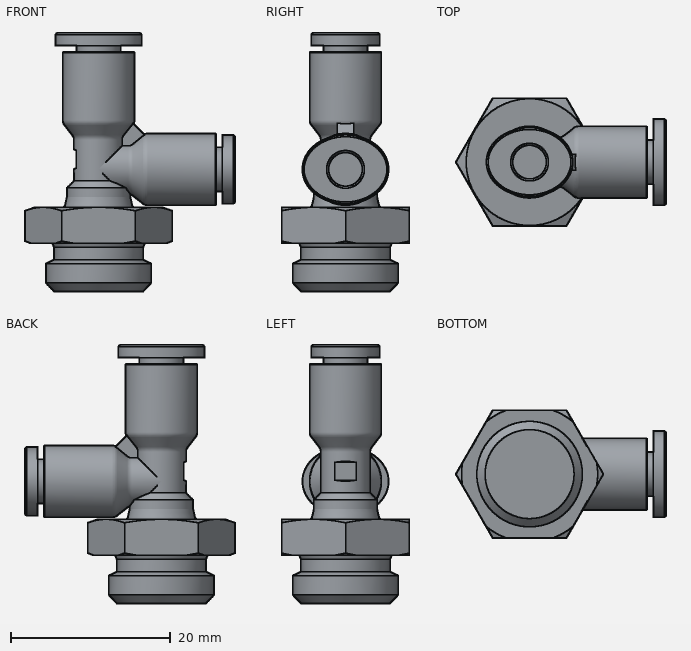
import cadquery as cq
import math

total_height = 32.4
branch_axis_z = 15.3
arm_length = total_height - branch_axis_z

plug_radius = 6.6
plug_groove_radius = 5.6
plug_lead_in = 1.07
plug_tip_radius = 5.57
plug_top_z = 3.5
groove_bottom_z = 4.0
groove_top_z = 5.55
nut_seat_radius = 5.8

nut_width = 16.0
nut_bottom_z = 6.03
nut_top_z = 10.55
nut_corner_radius = nut_width / math.sqrt(3)
nut_top_face_radius = 7.95
nut_top_bevel = 0.45
nut_bottom_face_radius = 8.52
nut_bottom_bevel = 0.3

collar_radius = 4.0
collar_base_radius = 4.2
collar_base_fillet = 0.25
collar_taper_top_z = 11.85
collar_top_z = 12.95
collar_bevel_top_z = 13.85

stem_radius = 3.1
body_radius = 4.5
flare_start = 3.73
flare_length = 2.4
flare_angle = math.radians(38)
body_end = 14.7
body_edge_chamfer = 0.1
sleeve_radius = 2.8
button_start = 15.5
button_long_radius = 5.4
button_short_radius = 4.3
button_chamfer = 0.23
bore_radius = 2.1
bore_chamfer = 0.25
bore_bottom = flare_start + flare_length

web_thickness = 2.0
web_reach = 10.1

pocket_floor_x = -2.82
pocket_bottom_z = 15.45
pocket_top_z = 17.65
pocket_end_slope = 0.5


def make_plug():
    """Screw plug with a relief groove under the nut."""
    return (
        cq.Workplane("XZ")
        .moveTo(0, 0)
        .lineTo(plug_tip_radius, 0)
        .lineTo(plug_radius, plug_lead_in)
        .lineTo(plug_radius, plug_top_z)
        .lineTo(plug_groove_radius, groove_bottom_z)
        .lineTo(plug_groove_radius, groove_top_z)
        .lineTo(nut_seat_radius, nut_bottom_z)
        .lineTo(0, nut_bottom_z)
        .close()
        .revolve(360, (0, 0), (0, 1))
    )


def make_nut():
    """Hexagonal prism with both faces bevelled at the corners by cones."""
    hexagon = (
        cq.Workplane("XY", origin=(0, 0, nut_bottom_z))
        .polygon(6, 2 * nut_corner_radius)
        .extrude(nut_top_z - nut_bottom_z)
    )
    bevel_envelope = (
        cq.Workplane("XZ")
        .moveTo(0, nut_bottom_z)
        .lineTo(nut_bottom_face_radius, nut_bottom_z)
        .lineTo(nut_corner_radius, nut_bottom_z + nut_bottom_bevel)
        .lineTo(nut_corner_radius, nut_top_z - nut_top_bevel)
        .lineTo(nut_top_face_radius, nut_top_z)
        .lineTo(0, nut_top_z)
        .close()
        .revolve(360, (0, 0), (0, 1))
    )
    return hexagon.intersect(bevel_envelope)


def make_collar():
    """Tapered collar, bevelled down to the stem and flared onto the nut."""
    fillet_reach = collar_base_fillet * (1 - math.sqrt(0.5))
    return (
        cq.Workplane("XZ")
        .moveTo(0, nut_top_z)
        .lineTo(collar_base_radius + collar_base_fillet, nut_top_z)
        .threePointArc(
            (collar_base_radius + fillet_reach, nut_top_z + fillet_reach),
            (collar_base_radius, nut_top_z + collar_base_fillet),
        )
        .lineTo(collar_radius, collar_taper_top_z)
        .lineTo(collar_radius, collar_top_z)
        .lineTo(stem_radius, collar_bevel_top_z)
        .lineTo(0, collar_bevel_top_z)
        .close()
        .revolve(360, (0, 0), (0, 1))
    )


def make_arm_body(start):
    """Stem and tube body along Z, joined by an S-shaped flare of two equal arcs and a cone."""
    flare_end = flare_start + flare_length
    step = body_radius - stem_radius
    arc_radius = (flare_length * math.tan(flare_angle) - step) / (
        2 * (math.sin(flare_angle) * math.tan(flare_angle) + math.cos(flare_angle) - 1)
    )

    def arc_offset(angle):
        return arc_radius * (1 - math.cos(angle)), arc_radius * math.sin(angle)

    mid_in, mid_up = arc_offset(flare_angle / 2)
    end_in, end_up = arc_offset(flare_angle)
    return (
        cq.Workplane("XZ")
        .moveTo(0, start)
        .lineTo(stem_radius, start)
        .lineTo(stem_radius, flare_start)
        .threePointArc(
            (stem_radius + mid_in, flare_start + mid_up),
            (stem_radius + end_in, flare_start + end_up),
        )
        .lineTo(body_radius - end_in, flare_end - end_up)
        .threePointArc(
            (body_radius - mid_in, flare_end - mid_up),
            (body_radius, flare_end),
        )
        .lineTo(body_radius, body_end - body_edge_chamfer)
        .lineTo(body_radius - body_edge_chamfer, body_end)
        .lineTo(0, body_end)
        .close()
        .revolve(360, (0, 0), (0, 1))
    )


def make_arm(start, long_axis_angle):
    """Complete arm along Z: body, release sleeve and oval button, without its bore."""
    sleeve = (
        cq.Workplane("XY", origin=(0, 0, body_end))
        .circle(sleeve_radius)
        .extrude(button_start - body_end)
    )
    button = (
        cq.Workplane("XY", origin=(0, 0, button_start))
        .ellipse(button_long_radius, button_short_radius)
        .extrude(arm_length - button_start)
        .faces(">Z")
        .chamfer(button_chamfer)
        .rotate((0, 0, 0), (0, 0, 1), long_axis_angle)
    )
    return make_arm_body(start).union(sleeve).union(button)


def make_bore():
    """Cutter for the blind tube socket with a bevelled mouth."""
    return (
        cq.Workplane("XZ")
        .moveTo(0, bore_bottom)
        .lineTo(bore_radius, bore_bottom)
        .lineTo(bore_radius, arm_length - bore_chamfer)
        .lineTo(bore_radius + bore_chamfer, arm_length)
        .lineTo(0, arm_length)
        .close()
        .revolve(360, (0, 0), (0, 1))
    )


def on_run(shape):
    """Move an arm-frame shape onto the upright run."""
    return shape.translate((0, 0, branch_axis_z))


def on_branch(shape):
    """Turn an arm-frame shape onto the horizontal branch."""
    return on_run(shape.rotate((0, 0, 0), (0, 1, 0), 90))


def make_web():
    """Triangular plate across the inside corner, with a 45 degree outer edge."""
    return on_run(
        cq.Workplane("XZ")
        .polyline([(0, 0), (web_reach, 0), (0, web_reach)])
        .close()
        .extrude(web_thickness / 2, both=True)
    )


def make_pocket():
    """Cutter for the stem pocket, whose end walls lean outward."""
    depth = stem_radius + pocket_floor_x
    lean = depth * pocket_end_slope
    return (
        cq.Workplane("XZ")
        .moveTo(pocket_floor_x, pocket_bottom_z)
        .lineTo(pocket_floor_x, pocket_top_z)
        .lineTo(-stem_radius, pocket_top_z + lean)
        .lineTo(-stem_radius, pocket_bottom_z - lean)
        .close()
        .extrude(stem_radius, both=True)
    )


run_start = nut_top_z - branch_axis_z
result = (
    make_plug()
    .union(make_nut())
    .union(make_collar())
    .union(on_run(make_arm(run_start, 0)))
    .union(on_branch(make_arm(0, 90)))
    .union(make_web())
    .cut(on_run(make_bore()))
    .cut(on_branch(make_bore()))
    .cut(make_pocket())
)